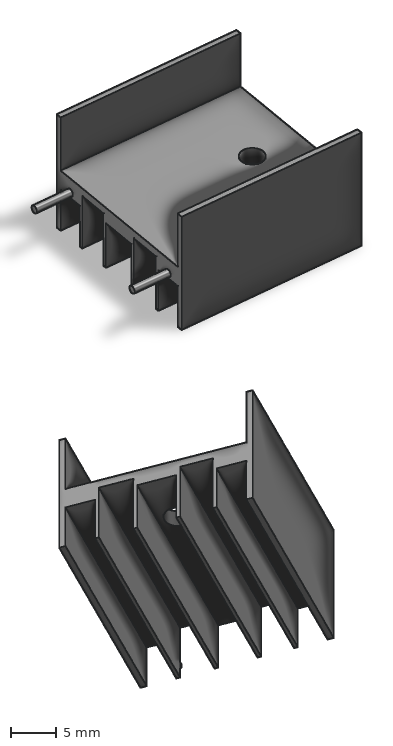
import cadquery as cq

sink_width = 23.0
sink_height = 16.0
sink_length = 25.0
wall_thickness = 0.75

plate_top = 8.5
outer_channel_height = 5.75
middle_channel_height = 7.4
center_channel_height = 6.3

fin_thickness = 0.45
outer_fin_x = 7.0
inner_fin_x = 2.55
inner_fin_shift = -0.1

screw_hole_diameter = 3.0
screw_hole_y = 18.5

pin_diameter = 1.0
pin_length = 5.0
pin_x = 9.0
pin_z = 6.5


def channel(x_left, x_right, z_bottom, z_top):
    """Rectangular channel running the full length of the heat sink."""
    return cq.Workplane("XY").box(
        x_right - x_left, sink_length, z_top - z_bottom, centered=False
    ).translate((x_left, 0, z_bottom))


def make_heat_sink():
    sink = channel(-sink_width / 2, sink_width / 2, 0, sink_height)

    inner_wall_x = sink_width / 2 - wall_thickness
    sink = sink.cut(channel(-inner_wall_x, inner_wall_x, plate_top, sink_height))

    half_fin = fin_thickness / 2
    fin_centers = [
        -outer_fin_x,
        inner_fin_shift - inner_fin_x,
        inner_fin_shift + inner_fin_x,
        outer_fin_x,
    ]
    left_sides = [-inner_wall_x] + [x + half_fin for x in fin_centers]
    right_sides = [x - half_fin for x in fin_centers] + [inner_wall_x]
    ceilings = [
        outer_channel_height,
        middle_channel_height,
        center_channel_height,
        middle_channel_height,
        outer_channel_height,
    ]
    for x_left, x_right, ceiling in zip(left_sides, right_sides, ceilings):
        sink = sink.cut(channel(x_left, x_right, 0, ceiling))

    screw_hole = (
        cq.Workplane("XY")
        .center(0, screw_hole_y)
        .circle(screw_hole_diameter / 2)
        .extrude(plate_top)
    )
    return sink.cut(screw_hole)


def make_pin(x):
    """Round pin pointing along -Y, its root touching the front face."""
    return (
        cq.Workplane("XZ")
        .center(x, pin_z)
        .circle(pin_diameter / 2)
        .extrude(pin_length)
    )


heat_sink = make_heat_sink()
pins = [make_pin(side * pin_x) for side in (-1, 1)]

result = cq.Compound.makeCompound([heat_sink.val(), *[pin.val() for pin in pins]])